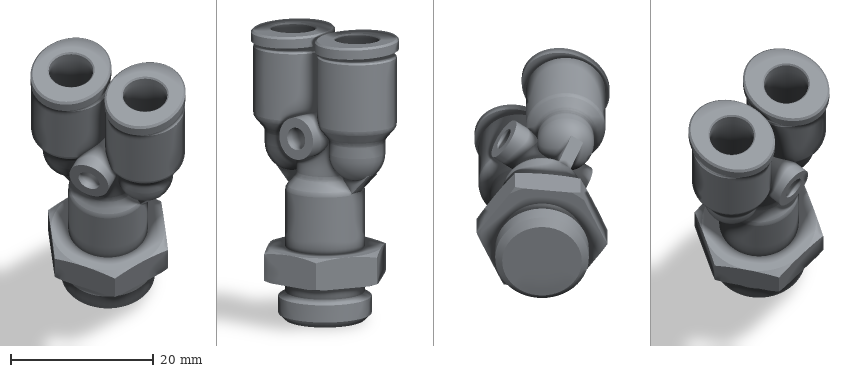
import cadquery as cq
import math

OVERALL_HEIGHT = 41.15
OVERALL_WIDTH = 22.6

STEM_RADIUS = 5.6
THREAD_RADIUS = 6.6
THREAD_LEAD_IN_HEIGHT = 0.95
THREAD_TOP = 3.4
GROOVE_BOTTOM = 4.05
GROOVE_TOP = 5.55
FLARE_RADIUS = 5.85
HEX_BOTTOM = 6.05
HEX_TOP = 10.55
HEX_ACROSS_FLATS = 16.0
HEX_TOP_BEVEL_DROP = 0.45
HEX_BOTTOM_BEVEL_DROP = 0.2
HEX_BOTTOM_BEVEL_RADIUS = 8.7

NECK_RADIUS = 4.0
SHOULDER_HEIGHT = 1.9
SHOULDER_FILLET = 1.0
STEM_SHOULDER_BOTTOM = 19.1

SOCKET_OFFSET = OVERALL_WIDTH / 2 - STEM_RADIUS
SOCKET_SHOULDER_TOP = 28.65
SOCKET_TOP = 38.8
SOCKET_CHAMFER = 0.2
BALL_CENTER_Z = 24.75

COLLAR_HALF_WIDTH = 5.5
COLLAR_HALF_DEPTH = 6.5
COLLAR_BOTTOM = 39.55
COLLAR_CHAMFER = 0.3
COLLAR_NECK_RADIUS = 3.75
BORE_RADIUS = 3.13
BORE_CHAMFER = 0.2

BOSS_RADIUS = 3.0
BOSS_LENGTH = 13.15
BOSS_HOLE_RADIUS = 1.6
BOSS_Z = 27.1

GUSSET_THICKNESS = 2.0
WEB_THICKNESS = 1.5
WEB_TOP = 37.25


def turned(profile):
    """Revolve a closed (radius, z) outline about the Z axis."""
    return cq.Workplane("XZ").polyline(profile).close().revolve(360, (0, 0), (0, 1))


def fillet_shoulder(body, shoulder_bottom):
    """Round both circular edges of a conical shoulder on the Z axis."""
    margin = SHOULDER_HEIGHT / 10
    shoulder_zone = cq.selectors.BoxSelector(
        (-STEM_RADIUS, -STEM_RADIUS, shoulder_bottom - margin),
        (STEM_RADIUS, STEM_RADIUS, shoulder_bottom + SHOULDER_HEIGHT + margin),
    )
    return body.edges("%CIRCLE").edges(shoulder_zone).fillet(SHOULDER_FILLET)


def stem():
    """Stem with a conical, filleted shoulder leading to a narrower neck."""
    shoulder_top = STEM_SHOULDER_BOTTOM + SHOULDER_HEIGHT
    body = turned([
        (0, HEX_BOTTOM),
        (STEM_RADIUS, HEX_BOTTOM),
        (STEM_RADIUS, STEM_SHOULDER_BOTTOM),
        (NECK_RADIUS, shoulder_top),
        (NECK_RADIUS, BOSS_Z),
        (0, BOSS_Z),
    ])
    return fillet_shoulder(body, STEM_SHOULDER_BOTTOM)


def threaded_end():
    """Threaded end, with a relief groove that flares out under the hexagon."""
    return turned([
        (0, 0),
        (STEM_RADIUS, 0),
        (THREAD_RADIUS, THREAD_LEAD_IN_HEIGHT),
        (THREAD_RADIUS, THREAD_TOP),
        (STEM_RADIUS, GROOVE_BOTTOM),
        (STEM_RADIUS, GROOVE_TOP),
        (FLARE_RADIUS, HEX_BOTTOM),
        (0, HEX_BOTTOM),
    ])


def hexagon():
    """Hexagon with flats facing +Y and -Y, its corners bevelled by cones."""
    across_corners = HEX_ACROSS_FLATS / math.cos(math.pi / 6)
    prism = (
        cq.Workplane("XY", origin=(0, 0, HEX_BOTTOM))
        .polygon(6, across_corners)
        .extrude(HEX_TOP - HEX_BOTTOM)
    )
    corner_radius = across_corners / 2
    bevel = turned([
        (0, HEX_BOTTOM),
        (HEX_BOTTOM_BEVEL_RADIUS, HEX_BOTTOM),
        (corner_radius, HEX_BOTTOM + HEX_BOTTOM_BEVEL_DROP),
        (corner_radius, HEX_TOP - HEX_TOP_BEVEL_DROP),
        (HEX_ACROSS_FLATS / 2, HEX_TOP),
        (0, HEX_TOP),
    ])
    return prism.intersect(bevel)


def socket():
    """Tube socket on the Z axis, narrowing through a shoulder to a ball end."""
    shoulder_bottom = SOCKET_SHOULDER_TOP - SHOULDER_HEIGHT
    body = turned([
        (0, BALL_CENTER_Z),
        (NECK_RADIUS, BALL_CENTER_Z),
        (NECK_RADIUS, shoulder_bottom),
        (STEM_RADIUS, SOCKET_SHOULDER_TOP),
        (STEM_RADIUS, SOCKET_TOP),
        (0, SOCKET_TOP),
    ])
    body = fillet_shoulder(body, shoulder_bottom)
    body = body.faces(">Z").chamfer(SOCKET_CHAMFER)
    ball = cq.Workplane("XY", origin=(0, 0, BALL_CENTER_Z)).sphere(NECK_RADIUS)
    return body.union(ball)


def collar():
    """Oval release collar on a round neck, on the Z axis."""
    neck = (
        cq.Workplane("XY", origin=(0, 0, SOCKET_TOP))
        .circle(COLLAR_NECK_RADIUS)
        .extrude(COLLAR_BOTTOM - SOCKET_TOP)
    )
    flange = (
        cq.Workplane("XY", origin=(0, 0, COLLAR_BOTTOM))
        .ellipse(COLLAR_HALF_WIDTH, COLLAR_HALF_DEPTH)
        .extrude(OVERALL_HEIGHT - COLLAR_BOTTOM)
        .faces(">Z")
        .chamfer(COLLAR_CHAMFER)
    )
    return neck.union(flange)


def bore():
    """Flat-bottomed tube bore with a chamfered mouth, on the Z axis."""
    return turned([
        (0, SOCKET_SHOULDER_TOP),
        (BORE_RADIUS, SOCKET_SHOULDER_TOP),
        (BORE_RADIUS, OVERALL_HEIGHT - BORE_CHAMFER),
        (BORE_RADIUS + BORE_CHAMFER, OVERALL_HEIGHT),
        (0, OVERALL_HEIGHT),
    ])


def boss_cylinder(radius):
    """Cylinder along Y through the crotch of the fork."""
    return (
        cq.Workplane("XZ", origin=(0, 0, BOSS_Z))
        .circle(radius)
        .extrude(BOSS_LENGTH / 2, both=True)
    )


def gussets():
    """Plate whose 45 degree lower edges are tangent to the ball ends."""
    tangent_shift = NECK_RADIUS * math.sin(math.pi / 4)
    tangent_x = SOCKET_OFFSET + tangent_shift
    tangent_z = BALL_CENTER_Z - tangent_shift
    apex_z = tangent_z - tangent_x
    return (
        cq.Workplane("XZ")
        .polyline([(0, apex_z), (tangent_x, tangent_z), (-tangent_x, tangent_z)])
        .close()
        .extrude(GUSSET_THICKNESS / 2, both=True)
    )


def center_web():
    """Thin web bridging the gap between the two sockets."""
    height = WEB_TOP - BOSS_Z
    return cq.Workplane("XY", origin=(0, 0, BOSS_Z)).box(
        SOCKET_OFFSET, WEB_THICKNESS, height, centered=(True, True, False)
    )


result = threaded_end().union(hexagon()).union(stem()).union(gussets()).union(center_web())
for side in (-1, 1):
    result = result.union(socket().union(collar()).translate((side * SOCKET_OFFSET, 0, 0)))
result = result.union(boss_cylinder(BOSS_RADIUS)).cut(boss_cylinder(BOSS_HOLE_RADIUS))
for side in (-1, 1):
    result = result.cut(bore().translate((side * SOCKET_OFFSET, 0, 0)))